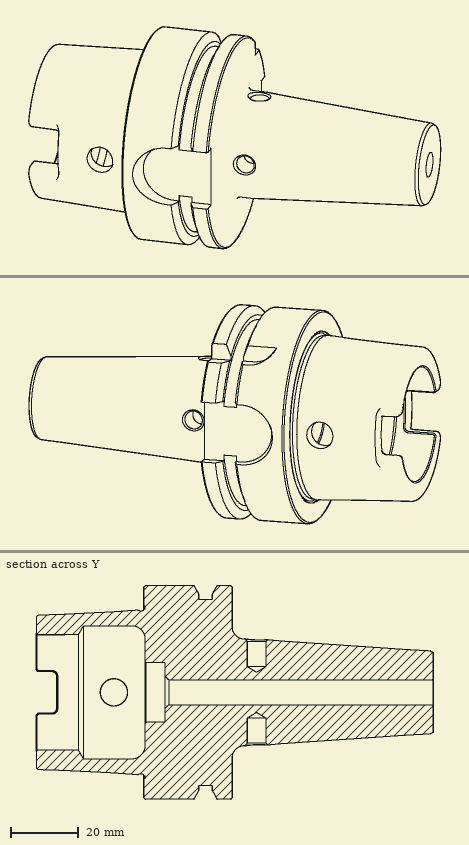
import cadquery as cq
import math

total_length = 117
end_radius = 22.8
taper_slope = 0.05
taper_end_x = 30.0
end_round = 0.9
neck_radius = 24.1
neck_start_x = 30.7
neck_end_x = 31.4
neck_flare_radius = 24.8

flange_x = 31.7
flange_end_x = 57.8
flange_diameter = 63.0
flange_radius = flange_diameter / 2
flange_chamfer = 0.5
face_relief_radius = 25.4
face_relief_depth = 0.4
groove_start_x = 46.6
groove_end_x = 53.2
groove_slope_width = 1.4
groove_slope_radius = 28.9
groove_radius = 27.5

nose_radius = 15.8
nose_fillet = 3.5
nose_cone_x = 64.9
nose_tip_radius = 12.3
nose_tip_chamfer = 0.9
nose_tip_drop = 0.5

mouth_radius = 17.0
mouth_end_x = 12.5
mouth_edge_chamfer = 0.4
chamber_radius = 19.5
clamp_angle = 60
chamber_floor_x = 32.0
chamber_floor_fillet = 3.9
counterbore_radius = 9.0
counterbore_depth = 5.8
counterbore_chamfer = 0.4
bore_entry_radius = 4.8
bore_radius = 3.6

cross_hole_x = 22.9
cross_hole_radius = 4.0

front_slot_depth = 9.8
back_slot_depth = 6.1
slot_half_width = 6.1
slot_mouth_round = 2.3
slot_floor_fillet = 1.4

pocket_half_width = 9.0
pocket_floor_span = 53.0
pocket_floor_y = pocket_floor_span / 2
pocket_floor_x = 37.0
pocket_wall_lean = 20

notch_y = 19.8
notch_z = 19.9
notch_end_radius = 7.6
notch_center_x = 44.7

screw_x = nose_cone_x
screw_radius = 2.7
screw_sink_radius = 3.5
screw_depth = 8.2
screw_count = 4
drill_point_angle = 118

tolerance = 0.1
mouth_reach = 0.6


def revolve_about_x(profile):
    return profile.close().revolve(360, (0, 0, 0), (1, 0, 0))


def outer_body():
    taper_end_radius = end_radius + taper_slope * taper_end_x
    profile = (
        cq.Workplane("XY")
        .moveTo(0, 0)
        .lineTo(0, end_radius)
        .lineTo(taper_end_x, taper_end_radius)
        .lineTo(neck_start_x, neck_radius)
        .lineTo(neck_end_x, neck_radius)
        .lineTo(flange_x + face_relief_depth, neck_flare_radius)
        .lineTo(flange_x + face_relief_depth, face_relief_radius)
        .lineTo(flange_x, face_relief_radius)
        .lineTo(flange_x, flange_radius - flange_chamfer)
        .lineTo(flange_x + flange_chamfer, flange_radius)
        .lineTo(groove_start_x, flange_radius)
        .lineTo(groove_start_x + groove_slope_width, groove_slope_radius)
        .lineTo(groove_start_x + groove_slope_width, groove_radius)
        .lineTo(groove_end_x - groove_slope_width, groove_radius)
        .lineTo(groove_end_x - groove_slope_width, groove_slope_radius)
        .lineTo(groove_end_x, flange_radius)
        .lineTo(flange_end_x - flange_chamfer, flange_radius)
        .lineTo(flange_end_x, flange_radius - flange_chamfer)
        .lineTo(flange_end_x, nose_radius + nose_fillet)
        .radiusArc((flange_end_x + nose_fillet, nose_radius), -nose_fillet)
        .lineTo(nose_cone_x, nose_radius)
        .lineTo(total_length - nose_tip_chamfer, nose_tip_radius)
        .lineTo(total_length, nose_tip_radius - nose_tip_drop)
        .lineTo(total_length, 0)
    )
    return revolve_about_x(profile)


def inner_cavity():
    clamp_length = (chamber_radius - mouth_radius) / math.tan(math.radians(clamp_angle))
    counterbore_x = chamber_floor_x + counterbore_depth
    counterbore_wall = counterbore_radius - counterbore_chamfer
    bore_x = counterbore_x + bore_entry_radius - bore_radius
    profile = (
        cq.Workplane("XY")
        .moveTo(0, 0)
        .lineTo(0, mouth_radius)
        .lineTo(mouth_end_x, mouth_radius)
        .lineTo(mouth_end_x + clamp_length, chamber_radius)
        .lineTo(chamber_floor_x - chamber_floor_fillet, chamber_radius)
        .radiusArc((chamber_floor_x, chamber_radius - chamber_floor_fillet), chamber_floor_fillet)
        .lineTo(chamber_floor_x, counterbore_radius)
        .lineTo(chamber_floor_x + counterbore_chamfer, counterbore_wall)
        .lineTo(counterbore_x, counterbore_wall)
        .lineTo(counterbore_x, bore_entry_radius)
        .lineTo(bore_x, bore_radius)
        .lineTo(total_length, bore_radius)
        .lineTo(total_length, 0)
    )
    return revolve_about_x(profile)


def end_slot(depth, side):
    """Plain slot across the open end, on the +Y side (side = 1) or the -Y side (side = -1)."""
    slot = cq.Workplane("XY").box(
        depth, flange_radius, 2 * slot_half_width, centered=(False, True, True)
    )
    return slot.translate((0, side * flange_radius / 2, 0))


def slot_wall_edges(body, x, y, half_size):
    """Edges of the slot side walls whose centers lie within half_size of (x, y)."""
    edges = []
    for z in (-slot_half_width, slot_half_width):
        box = cq.selectors.BoxSelector(
            [x - half_size, y - half_size, z - tolerance],
            [x + half_size, y + half_size, z + tolerance],
        )
        edges += body.edges(box).vals()
    return body.newObject(edges)


def slotted_body():
    """Outer body with both end slots, their rounded mouths, rim and floors."""
    slots = ((front_slot_depth, -1), (back_slot_depth, 1))
    body = outer_body()
    for depth, side in slots:
        body = body.cut(end_slot(depth, side))
    for depth, side in slots:
        mouth_y = side * (end_radius + taper_slope * depth / 2)
        mouth_y = side * math.sqrt(mouth_y ** 2 - slot_half_width ** 2)
        body = slot_wall_edges(body, depth / 2, mouth_y, mouth_reach).fillet(slot_mouth_round)
    body = body.faces("<X").edges().fillet(end_round)
    for depth, side in slots:
        floor_edges = slot_wall_edges(body, depth, side * end_radius / 2, end_radius / 2)
        body = floor_edges.edges("|Y").fillet(slot_floor_fillet)
    return body


def flange_pocket():
    """Flat-floored pocket on the -Y side whose rounded end wall leans toward x = 0."""
    lean = math.radians(pocket_wall_lean)
    reach = 2 * flange_radius
    end_center_x = pocket_floor_x + pocket_half_width / math.cos(lean)
    leaning_plane = cq.Plane(
        origin=(end_center_x, -pocket_floor_y, 0),
        xDir=(math.cos(lean), -math.sin(lean), 0),
        normal=(-math.sin(lean), -math.cos(lean), 0),
    )
    leaning_slot = (
        cq.Workplane(leaning_plane)
        .moveTo(reach, -pocket_half_width)
        .lineTo(0, -pocket_half_width)
        .radiusArc((0, pocket_half_width), pocket_half_width)
        .lineTo(reach, pocket_half_width)
        .close()
        .extrude(reach, both=True)
    )
    above_floor = cq.Workplane("XY").box(
        flange_end_x, reach, reach, centered=(False, False, True)
    ).translate((0, -pocket_floor_y - reach, 0))
    return leaning_slot.intersect(above_floor)


def orientation_notch():
    """Square-cornered notch with a rounded end, open toward +Y, +Z and the nose."""
    notch_length = flange_end_x - notch_center_x
    end_center_z = notch_z + notch_end_radius
    round_end = (
        cq.Workplane("XZ", origin=(notch_center_x, notch_y, end_center_z))
        .circle(notch_end_radius)
        .extrude(-flange_radius)
    )
    straight = cq.Workplane("XY").box(
        notch_length, flange_radius, 2 * notch_end_radius, centered=False
    ).translate((notch_center_x, notch_y, notch_z))
    return round_end.union(straight)


def screw_hole():
    """Countersunk blind hole with a drill point, entering the nose from -Y."""
    sink_depth = screw_sink_radius - screw_radius
    sink_y = nose_radius - sink_depth
    point_y = nose_radius - screw_depth
    tip_y = point_y - screw_radius / math.tan(math.radians(drill_point_angle / 2))
    return (
        cq.Workplane("XY", origin=(screw_x, 0, 0))
        .moveTo(0, -tip_y)
        .lineTo(screw_radius, -point_y)
        .lineTo(screw_radius, -sink_y)
        .lineTo(screw_sink_radius, -nose_radius)
        .lineTo(screw_sink_radius, -flange_radius)
        .lineTo(0, -flange_radius)
        .close()
        .revolve(360, (0, 0, 0), (0, 1, 0))
    )


def turned_about_x(shape, angle):
    return shape.rotate((0, 0, 0), (1, 0, 0), angle)


def mouth_edges(body):
    """Edges where the mouth of the cavity meets the rim and the end slots."""
    edges = []
    for edge in body.edges().vals():
        point = edge.positionAt(0.5)
        from_axis = math.hypot(point.y, point.z)
        runs_round_mouth = abs(from_axis - mouth_radius) < tolerance
        if runs_round_mouth and point.x < mouth_end_x - tolerance:
            edges.append(edge)
    return body.newObject(edges)


result = slotted_body().cut(inner_cavity())
result = mouth_edges(result).chamfer(mouth_edge_chamfer)

cross_hole = (
    cq.Workplane("XZ", origin=(cross_hole_x, 0, 0))
    .circle(cross_hole_radius)
    .extrude(flange_radius, both=True)
)
result = result.cut(cross_hole)

for angle in (0, 180):
    result = result.cut(turned_about_x(flange_pocket(), angle))

result = result.cut(orientation_notch())

for index in range(screw_count):
    result = result.cut(turned_about_x(screw_hole(), index * 360 / screw_count))